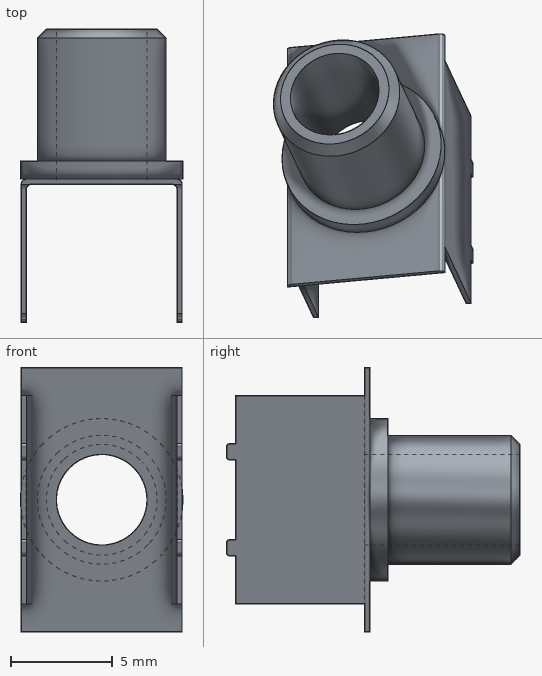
import cadquery as cq

TOTAL_LENGTH = 14.44
BARREL_LENGTH = 6.5
FLANGE_THICKNESS = 0.89
SHEET_THICKNESS = 0.25
TAB_LENGTH = 0.45
LEG_LENGTH = TOTAL_LENGTH - BARREL_LENGTH - FLANGE_THICKNESS - TAB_LENGTH

BARREL_DIAMETER = 6.35
BARREL_CHAMFER = 0.45
FLANGE_DIAMETER = 8.0
BORE_DIAMETER = 4.45

PLATE_WIDTH = 7.92
PLATE_HEIGHT = 13.0
LEG_HEIGHT = 10.24
BEND_RADIUS = 0.27
PLATE_EDGE_RADIUS = 0.24

TAB_WIDTH = 0.8
TAB_PITCH = 4.72
TAB_CORNER_RADIUS = 0.15

PLATE_FRONT_Y = -SHEET_THICKNESS
LEG_END_Y = -LEG_LENGTH
LEG_INNER_X = PLATE_WIDTH / 2 - SHEET_THICKNESS


def cylinder_along_y(diameter, start_y, length):
    """Cylinder on the Y axis from start_y toward +Y."""
    return cq.Workplane("XZ", origin=(0, start_y, 0)).circle(diameter / 2).extrude(-length)


def make_bushing():
    """Flange with a barrel whose free end is chamfered."""
    flange = cylinder_along_y(FLANGE_DIAMETER, 0, FLANGE_THICKNESS)
    barrel = cylinder_along_y(BARREL_DIAMETER, FLANGE_THICKNESS, BARREL_LENGTH)
    barrel = barrel.faces(">Y").chamfer(BARREL_CHAMFER)
    return flange.union(barrel)


def make_plate():
    """Plate with its two long edges rounded on the flange side."""
    plate = cq.Workplane("XY").box(PLATE_WIDTH, SHEET_THICKNESS, PLATE_HEIGHT)
    plate = plate.translate((0, -SHEET_THICKNESS / 2, 0))
    return plate.edges("|Z and >Y").fillet(PLATE_EDGE_RADIUS)


def make_tab(center_z):
    """Solder tab on the +X leg, overlapping the leg so that the two join."""
    overlap = SHEET_THICKNESS
    tab = cq.Workplane("XY").box(SHEET_THICKNESS, TAB_LENGTH + overlap, TAB_WIDTH)
    tab = tab.edges("|X and <Y").fillet(TAB_CORNER_RADIUS)
    center_x = LEG_INNER_X + SHEET_THICKNESS / 2
    return tab.translate((center_x, LEG_END_Y + (overlap - TAB_LENGTH) / 2, center_z))


def make_leg():
    """Leg on the +X side, with the inner radius of its bend and its tabs."""
    bend_start = (LEG_INNER_X - BEND_RADIUS, PLATE_FRONT_Y)
    bend_end = (LEG_INNER_X, PLATE_FRONT_Y - BEND_RADIUS)
    plate_overlap_y = PLATE_FRONT_Y / 2
    leg = (
        cq.Workplane("XY")
        .moveTo(PLATE_WIDTH / 2, LEG_END_Y)
        .lineTo(PLATE_WIDTH / 2, PLATE_FRONT_Y)
        .lineTo(LEG_INNER_X, plate_overlap_y)
        .lineTo(bend_start[0], plate_overlap_y)
        .lineTo(*bend_start)
        .radiusArc(bend_end, BEND_RADIUS)
        .lineTo(LEG_INNER_X, LEG_END_Y)
        .close()
        .extrude(LEG_HEIGHT / 2, both=True)
    )
    for side in (-1, 1):
        leg = leg.union(make_tab(side * TAB_PITCH / 2))
    return leg


def make_bracket():
    """Plate with a mirrored pair of legs."""
    leg = make_leg()
    return make_plate().union(leg).union(leg.mirror("YZ"))


bore = cylinder_along_y(BORE_DIAMETER, PLATE_FRONT_Y, TOTAL_LENGTH)
result = make_bushing().union(make_bracket()).cut(bore)